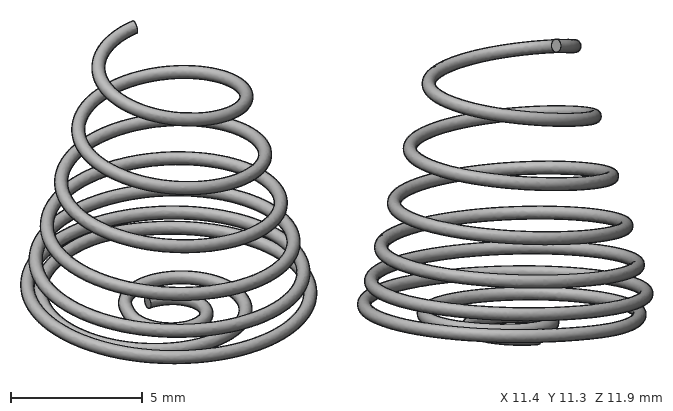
import cadquery as cq
import math

WIRE_RADIUS = 0.25
WIDEST_RADIUS = 5.5
WIDEST_HEIGHT = 1.14
POINTS_PER_TURN = 16

UPPER_TURNS = 6
TOP_RADIUS = 2.47
TOP_HEIGHT = 11.7
UPPER_START_TAPER = 0.17
UPPER_START_PITCH = 0.55

SPIRAL_TURNS = 1.2
SPIRAL_START_TAPER = 4.47
SPIRAL_DROP = 0.44

END_RADIUS = 1.49
END_TURNS = 0.8
BOTTOM_HEIGHT = WIRE_RADIUS


def eased(start, end, start_rate, turns, total_turns):
    """Quadratic change from start to end, beginning at start_rate per turn."""
    bend = (end - start - start_rate * total_turns) / total_turns**2
    return start + start_rate * turns + bend * turns**2


def wire_centre(turns):
    """Wire centre at a signed number of turns above the widest point."""
    if turns >= 0:
        radius = eased(WIDEST_RADIUS, TOP_RADIUS, -UPPER_START_TAPER, turns, UPPER_TURNS)
        height = eased(WIDEST_HEIGHT, TOP_HEIGHT, UPPER_START_PITCH, turns, UPPER_TURNS)
    elif turns >= -SPIRAL_TURNS:
        radius = eased(WIDEST_RADIUS, END_RADIUS, -SPIRAL_START_TAPER, -turns, SPIRAL_TURNS)
        height = WIDEST_HEIGHT + SPIRAL_DROP * turns / SPIRAL_TURNS
    else:
        radius = END_RADIUS
        spiral_foot = WIDEST_HEIGHT - SPIRAL_DROP
        start_slope = -SPIRAL_DROP / SPIRAL_TURNS
        height = eased(spiral_foot, BOTTOM_HEIGHT, start_slope, -turns - SPIRAL_TURNS, END_TURNS)
    angle = math.pi - 2 * math.pi * turns
    return cq.Vector(radius * math.cos(angle), radius * math.sin(angle), height)


lower_turns = SPIRAL_TURNS + END_TURNS
point_count = round((lower_turns + UPPER_TURNS) * POINTS_PER_TURN)
centreline = [wire_centre(i / POINTS_PER_TURN - lower_turns) for i in range(point_count + 1)]
path = cq.Workplane("XY").spline(centreline)

start = centreline[0]
wire_end = cq.Workplane("XZ").center(start.x, start.z).circle(WIRE_RADIUS)
result = wire_end.sweep(path, isFrenet=True)